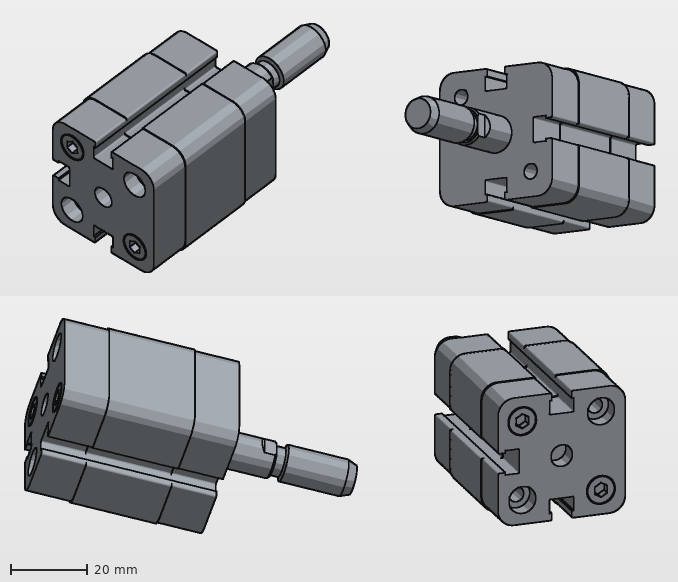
import cadquery as cq
import math


BODY_LENGTH = 48.0
CAP_LENGTH = 12.25
BARREL_LENGTH = BODY_LENGTH - 2 * CAP_LENGTH
BARREL_SIZE = 36.1
CAP_STEP = 0.25
CAP_SIZE = BARREL_SIZE - 2 * CAP_STEP
CORNER_RADIUS = 4.5

SLOT_DEPTH = 5.95
SLOT_MOUTH_WIDTH = 5.5
SLOT_INNER_WIDTH = 6.8
SLOT_LEDGE_DISTANCE = 15.75
SLOT_LIP_RADIUS = 0.5
SLOT_FLOOR_RADIUS = 0.4
ARC_MIDPOINT = 1 - math.sqrt(0.5)
SLOT_ANGLES = (0, 90, 180)

BOLT_OFFSET = 11.0
HOLE_POINTS = [(BOLT_OFFSET, BOLT_OFFSET), (-BOLT_OFFSET, -BOLT_OFFSET)]
SCREW_POINTS = [(-BOLT_OFFSET, BOLT_OFFSET), (BOLT_OFFSET, -BOLT_OFFSET)]
THROUGH_DIAMETER = 4.13
COUNTERBORE_DIAMETER = 7.5
COUNTERBORE_DEPTH = 4.6
HEAD_RECESS_DIAMETER = 7.9
HEAD_DIAMETER = 7.5
HEAD_GAP_DEPTH = 0.2
HEX_ACROSS_FLATS = 3.5
HEX_DEPTH = 2.5
CENTER_HOLE_DIAMETER = 6.0
CENTER_HOLE_DEPTH = 5.0

ROD_DIAMETER = 10.0
ROD_SHOULDER = 14.5
SHOULDER_CHAMFER = 0.5
NECK_DIAMETER = 7.9
NECK_LENGTH = 3.0
NECK_CONE_LENGTH = 0.5
THREAD_LENGTH = 19.0
TIP_DIAMETER = 8.0
TIP_CONE_LENGTH = 2.55
FLATS_WIDTH = 8.0
FLATS_LENGTH = 3.4
ROD_OVERLAP = 1.0


def along_y(y):
    """Sketch plane at depth y: local x is X, local y is Z, negative extrusions go toward +Y."""
    return cq.Workplane(cq.Plane(origin=(0, y, 0), xDir=(1, 0, 0), normal=(0, -1, 0)))


def slot_cutter(size, start, length):
    """T-slot in the +Z side of a section of the given outer size, with rounded mouth and floor edges."""
    face = size / 2
    floor = face - SLOT_DEPTH
    mouth = SLOT_MOUTH_WIDTH / 2
    inner = SLOT_INNER_WIDTH / 2
    lip_sag = SLOT_LIP_RADIUS * ARC_MIDPOINT
    floor_sag = SLOT_FLOOR_RADIUS * ARC_MIDPOINT
    right_half = (
        along_y(start)
        .moveTo(0, floor)
        .lineTo(inner - SLOT_FLOOR_RADIUS, floor)
        .threePointArc((inner - floor_sag, floor + floor_sag), (inner, floor + SLOT_FLOOR_RADIUS))
        .lineTo(inner, SLOT_LEDGE_DISTANCE)
        .lineTo(mouth, SLOT_LEDGE_DISTANCE)
        .lineTo(mouth, face - SLOT_LIP_RADIUS)
        .threePointArc((mouth + lip_sag, face - lip_sag), (mouth + SLOT_LIP_RADIUS, face))
        .lineTo(0, face)
        .close()
        .extrude(-length)
    )
    return right_half.union(right_half.mirror("YZ"))


def body_section(size, start, length):
    """Rounded square section of the body with its T-slots."""
    section = along_y(start).rect(size, size).extrude(-length).edges("|Y").fillet(CORNER_RADIUS)
    cutter = slot_cutter(size, start, length)
    for angle in SLOT_ANGLES:
        section = section.cut(cutter.rotate((0, 0, 0), (0, 1, 0), -angle))
    return section


def front_bores(points, diameter, depth):
    """Cylinders sunk into the front face at the given (x, z) points."""
    return along_y(0).pushPoints(points).circle(diameter / 2).extrude(-depth)


def mounting_holes():
    """Two counterbored holes through the body, on one diagonal."""
    holes = front_bores(HOLE_POINTS, THROUGH_DIAMETER, BODY_LENGTH)
    return holes.union(front_bores(HOLE_POINTS, COUNTERBORE_DIAMETER, COUNTERBORE_DEPTH))


def screw_heads():
    """Shallow gaps around two flush screw heads and their hexagon sockets, on the other diagonal."""
    recesses = front_bores(SCREW_POINTS, HEAD_RECESS_DIAMETER, HEAD_GAP_DEPTH)
    heads = front_bores(SCREW_POINTS, HEAD_DIAMETER, HEAD_GAP_DEPTH)
    hex_corner_radius = HEX_ACROSS_FLATS / 2 / math.cos(math.pi / 6)
    hexagon = [
        (hex_corner_radius * math.sin(k * math.pi / 3), hex_corner_radius * math.cos(k * math.pi / 3))
        for k in range(6)
    ]
    cutter = recesses.cut(heads)
    for x, z in SCREW_POINTS:
        socket = along_y(0).polyline(hexagon).close().extrude(-HEX_DEPTH)
        cutter = cutter.union(socket.translate((x, 0, z)))
    return cutter


def piston_rod():
    """Turned rod with a shoulder, an undercut, a threaded end (plain cylinder) and wrench flats."""
    radius = ROD_DIAMETER / 2
    neck = NECK_DIAMETER / 2
    shoulder = BODY_LENGTH + ROD_SHOULDER
    thread_start = shoulder + NECK_LENGTH
    tip = thread_start + THREAD_LENGTH
    rod = (
        cq.Workplane("XY")
        .moveTo(0, BODY_LENGTH - ROD_OVERLAP)
        .lineTo(radius, BODY_LENGTH - ROD_OVERLAP)
        .lineTo(radius, shoulder - SHOULDER_CHAMFER)
        .lineTo(radius - SHOULDER_CHAMFER, shoulder)
        .lineTo(neck, shoulder)
        .lineTo(neck, thread_start - NECK_CONE_LENGTH)
        .lineTo(radius, thread_start)
        .lineTo(radius, tip - TIP_CONE_LENGTH)
        .lineTo(TIP_DIAMETER / 2, tip)
        .lineTo(0, tip)
        .close()
        .revolve(360, (0, 0, 0), (0, 1, 0))
    )
    flat = FLATS_WIDTH / 2
    flat_start = shoulder - FLATS_LENGTH
    runout = radius - flat
    flat_cutter = (
        cq.Workplane("XY")
        .moveTo(flat, shoulder)
        .lineTo(flat, flat_start)
        .lineTo(radius, flat_start - runout)
        .lineTo(radius, shoulder)
        .close()
        .extrude(radius, both=True)
    )
    return rod.cut(flat_cutter).cut(flat_cutter.mirror("YZ"))


front_cap = body_section(CAP_SIZE, 0, CAP_LENGTH)
barrel = body_section(BARREL_SIZE, CAP_LENGTH, BARREL_LENGTH)
rear_cap = body_section(CAP_SIZE, CAP_LENGTH + BARREL_LENGTH, CAP_LENGTH)
center_hole = front_bores([(0, 0)], CENTER_HOLE_DIAMETER, CENTER_HOLE_DEPTH)

body = front_cap.union(barrel).union(rear_cap)
body = body.cut(mounting_holes()).cut(screw_heads()).cut(center_hole)
result = body.union(piston_rod())